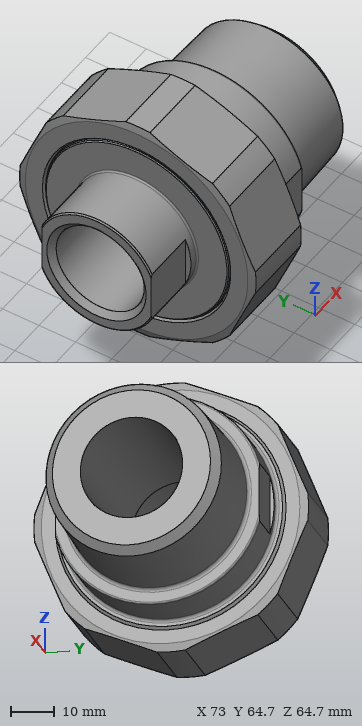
import cadquery as cq
import math

TOTAL_LENGTH = 73.0
BORE_DIAMETER = 24.1

NUT_START = 16.65
NUT_END = 36.4
NUT_ACROSS_FLATS = 62.0
NUT_ACROSS_CORNERS = 64.7
NUT_SIDES = 8
NUT_FACE_DIAMETER = 60.9
NUT_CHAMFER_LENGTH = 0.5
NUT_LIP_LENGTH = 4.4
NUT_LIP_DIAMETER = 50.5
NUT_LIP_CHAMFER = 0.5
NUT_CAVITY_DIAMETER = 54.4

NIPPLE_DIAMETER = 33.0
NIPPLE_END_CHAMFER = 0.4
NIPPLE_ROOT_FILLET = 0.45
NIPPLE_COLLAR_DIAMETER = 50.0
NIPPLE_COLLAR_CHAMFER = 0.3
NIPPLE_FLANGE_DIAMETER = 54.0
NIPPLE_FLANGE_LENGTH = 4.4
NIPPLE_MOUTH_CHAMFER = 1.5
NIPPLE_FLATS_WIDTH = 29.9
NIPPLE_FLATS_LENGTH = 14.15

RING_END = 37.1
RING_CHAMFER = 0.65
RING_ROOT_FILLET = 0.7
HUB_DIAMETER = 50.0
HUB_END = 48.9
HUB_END_FILLET = 0.45
HUB_FLATS_WIDTH = 48.0
HUB_FLATS_START = 39.0
THREAD_ROOT_FILLET = 0.9
THREAD_LARGE_DIAMETER = 42.6
THREAD_SMALL_DIAMETER = 41.3
THREAD_END_CHAMFER = 2.05

JOINT_X = NUT_START + NUT_LIP_LENGTH + NIPPLE_FLANGE_LENGTH
ARC_MID = math.sqrt(0.5)


def revolve_about_x(profile):
    """Revolve a closed XY profile, with Y as radius, about the X axis."""
    return profile.close().revolve(360, (0, 0, 0), (1, 0, 0))


def cylinder_x(diameter, start, end):
    return cq.Workplane("YZ", origin=(start, 0, 0)).circle(diameter / 2).extrude(end - start)


def cone_step(face_diameter, bore_diameter, start, length):
    """Truncated cone from face_diameter at start to bore_diameter after length."""
    return revolve_about_x(
        cq.Workplane("XY")
        .moveTo(start, 0)
        .lineTo(start, face_diameter / 2)
        .lineTo(start + length, bore_diameter / 2)
        .lineTo(start + length, 0)
    )


def cut_wrench_flats(body, width, start, end):
    """Cut a pair of flats, facing -Y and +Y, between two X positions."""
    block_depth = NUT_ACROSS_CORNERS
    for side in (-1, 1):
        block = cq.Workplane("XY").box(end - start, block_depth, block_depth)
        center_y = side * (width + block_depth) / 2
        body = body.cut(block.translate(((start + end) / 2, center_y, 0)))
    return body


def make_nut():
    length = NUT_END - NUT_START
    corner_diameter = NUT_ACROSS_FLATS / math.cos(math.pi / NUT_SIDES)
    octagon = cq.Workplane("YZ", origin=(NUT_START, 0, 0)).polygon(NUT_SIDES, corner_diameter).extrude(length)

    face_radius = NUT_FACE_DIAMETER / 2
    outer_radius = NUT_ACROSS_CORNERS / 2
    envelope = revolve_about_x(
        cq.Workplane("XY")
        .moveTo(NUT_START, 0)
        .lineTo(NUT_START, face_radius)
        .lineTo(NUT_START + NUT_CHAMFER_LENGTH, outer_radius)
        .lineTo(NUT_END - NUT_CHAMFER_LENGTH, outer_radius)
        .lineTo(NUT_END, face_radius)
        .lineTo(NUT_END, 0)
    )
    lip_hole = cylinder_x(NUT_LIP_DIAMETER, NUT_START, NUT_END)
    lip_mouth = cone_step(
        NUT_LIP_DIAMETER + 2 * NUT_LIP_CHAMFER, NUT_LIP_DIAMETER, NUT_START, NUT_LIP_CHAMFER
    )
    cavity = cylinder_x(NUT_CAVITY_DIAMETER, NUT_START + NUT_LIP_LENGTH, NUT_END)
    return octagon.intersect(envelope).cut(lip_hole).cut(lip_mouth).cut(cavity)


def make_nipple():
    radius = NIPPLE_DIAMETER / 2
    collar_radius = NIPPLE_COLLAR_DIAMETER / 2
    flange_radius = NIPPLE_FLANGE_DIAMETER / 2
    flange_start = NUT_START + NUT_LIP_LENGTH
    root = NIPPLE_ROOT_FILLET
    body = revolve_about_x(
        cq.Workplane("XY")
        .lineTo(0, radius - NIPPLE_END_CHAMFER)
        .lineTo(NIPPLE_END_CHAMFER, radius)
        .lineTo(NUT_START - root, radius)
        .threePointArc(
            (NUT_START - root * (1 - ARC_MID), radius + root * (1 - ARC_MID)),
            (NUT_START, radius + root),
        )
        .lineTo(NUT_START, collar_radius - NIPPLE_COLLAR_CHAMFER)
        .lineTo(NUT_START + NIPPLE_COLLAR_CHAMFER, collar_radius)
        .lineTo(flange_start, collar_radius)
        .lineTo(flange_start, flange_radius)
        .lineTo(JOINT_X, flange_radius)
        .lineTo(JOINT_X, 0)
    )
    bore = cylinder_x(BORE_DIAMETER, 0, JOINT_X)
    mouth = cone_step(BORE_DIAMETER + 2 * NIPPLE_MOUTH_CHAMFER, BORE_DIAMETER, 0, NIPPLE_MOUTH_CHAMFER)
    body = body.cut(bore).cut(mouth)
    return cut_wrench_flats(body, NIPPLE_FLATS_WIDTH, 0, NIPPLE_FLATS_LENGTH)


def make_tailpiece():
    ring_radius = NUT_CAVITY_DIAMETER / 2
    hub_radius = HUB_DIAMETER / 2
    thread_root_radius = THREAD_LARGE_DIAMETER / 2
    thread_end_radius = THREAD_SMALL_DIAMETER / 2
    ring_root = RING_ROOT_FILLET
    hub_edge = HUB_END_FILLET
    thread_root = THREAD_ROOT_FILLET
    body = revolve_about_x(
        cq.Workplane("XY")
        .moveTo(JOINT_X, 0)
        .lineTo(JOINT_X, ring_radius)
        .lineTo(RING_END - RING_CHAMFER, ring_radius)
        .lineTo(RING_END, ring_radius - RING_CHAMFER)
        .lineTo(RING_END, hub_radius + ring_root)
        .threePointArc(
            (RING_END + ring_root * (1 - ARC_MID), hub_radius + ring_root * (1 - ARC_MID)),
            (RING_END + ring_root, hub_radius),
        )
        .lineTo(HUB_END - hub_edge, hub_radius)
        .threePointArc(
            (HUB_END - hub_edge * (1 - ARC_MID), hub_radius - hub_edge * (1 - ARC_MID)),
            (HUB_END, hub_radius - hub_edge),
        )
        .lineTo(HUB_END, thread_root_radius + thread_root)
        .threePointArc(
            (HUB_END + thread_root * (1 - ARC_MID), thread_root_radius + thread_root * (1 - ARC_MID)),
            (HUB_END + thread_root, thread_root_radius),
        )
        .lineTo(TOTAL_LENGTH - THREAD_END_CHAMFER, thread_end_radius)
        .lineTo(TOTAL_LENGTH, thread_end_radius - THREAD_END_CHAMFER)
        .lineTo(TOTAL_LENGTH, 0)
    )
    body = body.cut(cylinder_x(BORE_DIAMETER, JOINT_X, TOTAL_LENGTH))
    return cut_wrench_flats(body, HUB_FLATS_WIDTH, HUB_FLATS_START, HUB_END)


nut = make_nut().solids()
nipple = make_nipple().solids()
tailpiece = make_tailpiece().solids()

result = cq.Compound.makeCompound([nut.val(), nipple.val(), tailpiece.val()])